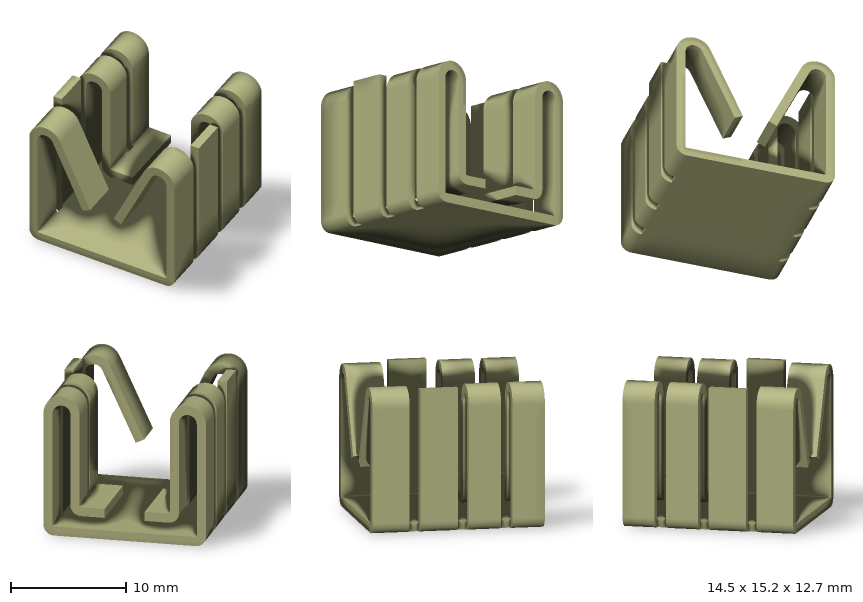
import cadquery as cq
import math

width = 14.5
half_width = width / 2
sheet = 0.82
bend_inner = 0.1
bend_outer = bend_inner + sheet
bend_mid_angle = -math.pi / 4

loop_inner = 0.8
loop_outer = loop_inner + sheet
height = 12.71
loop_x = half_width - loop_outer
loop_z = height - loop_outer
wall_height = 12.65

arm_angle = math.radians(25)
arm_length = 7.07

foot_bottom = 1.95
foot_gap = 3.57
foot_end = foot_gap / 2
leg_outer = half_width - sheet - 2 * loop_inner
leg_inner = leg_outer - sheet

front_clip_length = 3.29
channel_length = 3.34
rear_clip_length = 2.87
front_gap = 0.95
channel_gap = 0.93
rear_gap = 1.0

front_clip_y = 0
channel_y = front_clip_y + front_clip_length + front_gap
rear_clip_1_y = channel_y + channel_length + channel_gap
rear_clip_2_y = rear_clip_1_y + rear_clip_length + rear_gap


bridge_inset = 0.99


def arc_point(center_x, center_z, radius, angle):
    """Point on a circle, at an angle measured from +X towards +Z."""
    return (center_x + radius * math.cos(angle), center_z + radius * math.sin(angle))


def start_base(y):
    """Right half of a band: underside of the base and its outer bend."""
    middle = arc_point(half_width - bend_outer, bend_outer, bend_outer, bend_mid_angle)
    return (
        cq.Workplane("XZ", origin=(0, y, 0))
        .moveTo(0, 0)
        .lineTo(half_width - bend_outer, 0)
        .threePointArc(middle, (half_width, bend_outer))
    )


def finish_band(outline, length):
    """Run down the wall's inner face to the base, mirror the half and extrude towards +Y."""
    inner_x = half_width - sheet
    middle = arc_point(inner_x - bend_inner, sheet + bend_inner, bend_inner, bend_mid_angle)
    return (
        outline.lineTo(inner_x, sheet + bend_inner)
        .threePointArc(middle, (inner_x - bend_inner, sheet))
        .lineTo(0, sheet)
        .mirrorY()
        .extrude(-length)
    )


def make_channel():
    """Open channel with plain straight walls."""
    outline = (
        start_base(channel_y)
        .lineTo(half_width, wall_height)
        .lineTo(half_width - sheet, wall_height)
    )
    return finish_band(outline, channel_length)


def make_front_clip():
    """Clip whose walls roll over into arms that slope down towards the middle."""
    end_angle = math.pi - arm_angle
    middle_angle = end_angle / 2
    outer_tangent = arc_point(loop_x, loop_z, loop_outer, end_angle)
    inner_tangent = arc_point(loop_x, loop_z, loop_inner, end_angle)
    arm_x = -arm_length * math.sin(arm_angle)
    arm_z = -arm_length * math.cos(arm_angle)
    outline = (
        start_base(front_clip_y)
        .lineTo(half_width, loop_z)
        .threePointArc(arc_point(loop_x, loop_z, loop_outer, middle_angle), outer_tangent)
        .line(arm_x, arm_z)
        .lineTo(inner_tangent[0] + arm_x, inner_tangent[1] + arm_z)
        .lineTo(*inner_tangent)
        .threePointArc(
            arc_point(loop_x, loop_z, loop_inner, middle_angle), (half_width - sheet, loop_z)
        )
    )
    return finish_band(outline, front_clip_length)


def make_rear_clip(y):
    """Clip whose walls roll over into upright legs that end in inward feet."""
    foot_top = foot_bottom + sheet
    inner_bend = (leg_inner - bend_inner, foot_top + bend_inner)
    outer_bend = (leg_outer - bend_outer, foot_bottom + bend_outer)
    outline = (
        start_base(y)
        .lineTo(half_width, loop_z)
        .threePointArc((loop_x, height), (leg_inner, loop_z))
        .lineTo(leg_inner, inner_bend[1])
        .threePointArc(
            arc_point(*inner_bend, bend_inner, bend_mid_angle), (inner_bend[0], foot_top)
        )
        .lineTo(foot_end, foot_top)
        .lineTo(foot_end, foot_bottom)
        .lineTo(outer_bend[0], foot_bottom)
        .threePointArc(
            arc_point(*outer_bend, bend_outer, bend_mid_angle), (leg_outer, outer_bend[1])
        )
        .lineTo(leg_outer, loop_z)
        .threePointArc((loop_x, loop_z + loop_inner), (half_width - sheet, loop_z))
    )
    return finish_band(outline, rear_clip_length)


def make_bridge(x_start, x_end, y, z, length):
    """Flat link, one sheet thick, that joins two neighbouring bands."""
    return (
        cq.Workplane("XY", origin=(x_start, y, z))
        .box(x_end - x_start, length, sheet, centered=False)
    )


channel = make_channel()
front_clip = make_front_clip()
rear_clips = [make_rear_clip(y) for y in (rear_clip_1_y, rear_clip_2_y)]

base_edge = half_width - bridge_inset
base_bridges = [
    make_bridge(-base_edge, base_edge, band_end, 0, gap)
    for band_end, gap in (
        (front_clip_y + front_clip_length, front_gap),
        (channel_y + channel_length, channel_gap),
        (rear_clip_1_y + rear_clip_length, rear_gap),
    )
]

foot_edge = leg_outer - bridge_inset
foot_bridges = [
    make_bridge(x_start, x_end, rear_clip_1_y + rear_clip_length, foot_bottom, rear_gap)
    for x_start, x_end in ((-foot_edge, -foot_end), (foot_end, foot_edge))
]

bodies = [channel, front_clip, *rear_clips, *base_bridges, *foot_bridges]
result = cq.Compound.makeCompound([body.val() for body in bodies])